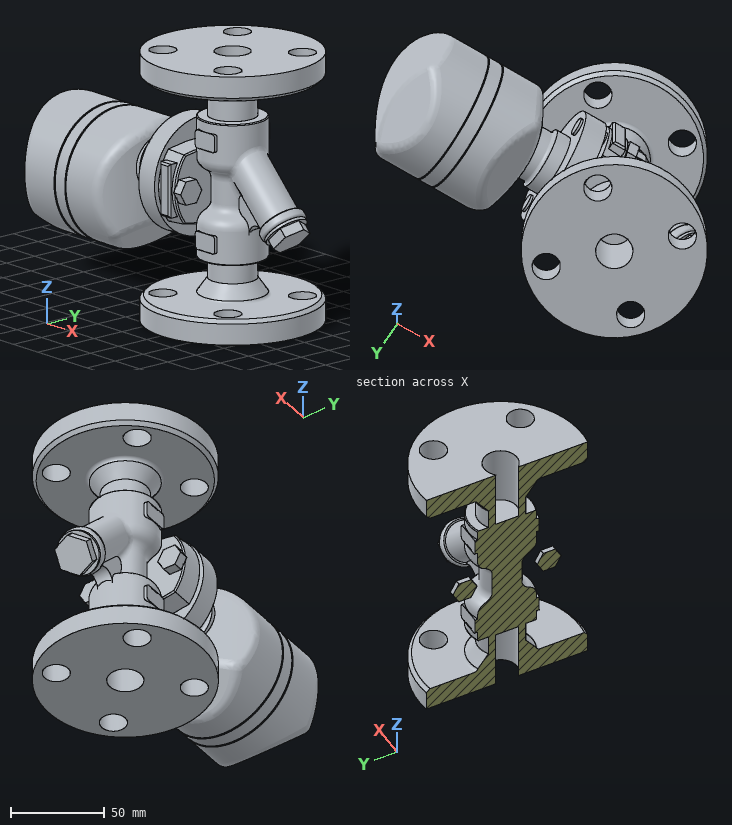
import cadquery as cq
import math


half_height = 75.0
flange_radius = 50.0
flange_thickness = 14.0
flange_chamfer = 2.1
flange_hole_diameter = 15.0
flange_hole_offset = 26.5
bore_diameter = 20.0
bore_depth = 35.2
neck_radius = 13.58
cone_end_radius = 19.3
cone_foot_radius = 21.9
cone_foot_height = 1.8
cone_end_z = 51.2

collar_radius = 19.5
collar_end_z = 39.5
collar_edge_chamfer = 0.5
waist_radius = 11.7
upper_shoulder_z = 17.0
upper_bend_z = 10.5
upper_waist_z = 4.7
lower_waist_z = -8.4
lower_bend_z = -13.9
lower_shoulder_z = -20.7

pad_width = 15.6
pad_height = 10.2
pad_corner = 1.5
pad_face_y = 19.83
pad_center_z = 28.3

branch_angle = 45.0
branch_axis_x = 27.48
branch_radius = 11.5
branch_embed = 11.7
branch_blend = 3.5
web_hollow_radius = 6.3
web_thickness = 9.8
washer_radius = 12.5
ring_radius = 13.5
ring_start = 35.7
ring_end = 41.5
ring_rounding = 1.5
washer_end = 43.0
cap_end = 48.8
cap_corner_diameter = 22.9
cap_turn = -8.0

disc_radius = 33.5
disc_left_x = -38.3
disc_right_x = -25.4
hub_radius = 17.48
hub_left_x = -46.5
lug_left_x = -23.0
lug_right_x = -10.2
lug_radius = 32.6
lug_crest_z = 22.7
lug_shoulder_z = 20.1
lug_draft = 4.0
lug_edge_chamfer = 0.8
plate_left_x = -21.0
plate_right_x = -12.9
plate_height = 30.0
plate_face_y = -33.8
plate_bevel = 1.2
bolt_y = 25.8
bolt_diameter = 10.0
bolt_left_x = -39.7
nut_right_x = -4.3
nut_corner_diameter = 15.0

actuator_radius = 38.0
actuator_z = -13.97
actuator_left_x = -139.0
actuator_right_x = -56.3
end_curve_radius = 67.0
bottom_cut_height = 20.3
edge_rounding = 6.6
groove_width = 0.5
groove_depth = 0.4
groove_places = (-102.0, -93.2)
stem_radius = 15.0
flare_left_x = -55.9
flare_right_x = -54.0
stem_right_x = -48.2
stem_embed = 11.7


def x_cylinder(radius, left_x, right_x, y=0.0, z=0.0):
    """Solid cylinder along X between two stations."""
    return cq.Workplane("YZ", origin=(left_x, y, z)).circle(radius).extrude(right_x - left_x)


def fillet_mid(corner, start, end):
    """Middle point of a hollow fillet from start to end around a square inner corner."""
    share = 1 - math.sqrt(0.5)
    x = corner[0] + share * (start[0] + end[0] - 2 * corner[0])
    y = corner[1] + share * (start[1] + end[1] - 2 * corner[1])
    return x, y


def pipe_end():
    """Upper flange with its conical neck, reaching down into the collar."""
    flange_back = half_height - flange_thickness
    cone_start_z = flange_back - cone_foot_height
    foot_start = (cone_foot_radius, flange_back)
    foot_end = (cone_end_radius, cone_start_z)
    foot_corner = (cone_end_radius, flange_back)
    foot_mid = fillet_mid(foot_corner, foot_start, foot_end)
    end = (
        cq.Workplane("XZ")
        .moveTo(0, half_height)
        .lineTo(flange_radius, half_height)
        .lineTo(flange_radius, flange_back + flange_chamfer)
        .lineTo(flange_radius - flange_chamfer, flange_back)
        .lineTo(*foot_start)
        .threePointArc(foot_mid, foot_end)
        .lineTo(neck_radius, cone_end_z)
        .lineTo(neck_radius, upper_shoulder_z)
        .lineTo(0, upper_shoulder_z)
        .close()
        .revolve(360, (0, 0, 0), (0, 1, 0))
    )
    pitch = 2 * flange_hole_offset
    holes = (
        cq.Workplane("XY", origin=(0, 0, flange_back))
        .rect(pitch, pitch, forConstruction=True)
        .vertices()
        .circle(flange_hole_diameter / 2)
        .extrude(flange_thickness)
    )
    return end.cut(holes)


def shoulder_bend(waist_z, bend_z, shoulder_z):
    """Point where the two arcs of a shoulder meet without a kink."""
    share = (bend_z - waist_z) / (shoulder_z - waist_z)
    return waist_radius + share * (collar_radius - waist_radius), bend_z


def valve_body():
    """Two collars joined by a narrow waist with rounded shoulders."""
    return (
        cq.Workplane("XZ")
        .moveTo(0, collar_end_z)
        .lineTo(collar_radius - collar_edge_chamfer, collar_end_z)
        .lineTo(collar_radius, collar_end_z - collar_edge_chamfer)
        .lineTo(collar_radius, upper_shoulder_z)
        .tangentArcPoint(shoulder_bend(upper_waist_z, upper_bend_z, upper_shoulder_z), relative=False)
        .tangentArcPoint((waist_radius, upper_waist_z), relative=False)
        .lineTo(waist_radius, lower_waist_z)
        .tangentArcPoint(shoulder_bend(lower_waist_z, lower_bend_z, lower_shoulder_z), relative=False)
        .tangentArcPoint((collar_radius, lower_shoulder_z), relative=False)
        .lineTo(collar_radius, collar_edge_chamfer - collar_end_z)
        .lineTo(collar_radius - collar_edge_chamfer, -collar_end_z)
        .lineTo(0, -collar_end_z)
        .close()
        .revolve(360, (0, 0, 0), (0, 1, 0))
    )


def collar_pads():
    """Rounded rectangular pads on both sides of both collars."""
    pads = cq.Workplane("XY")
    for z in (-pad_center_z, pad_center_z):
        pad = (
            cq.Workplane("XY", origin=(0, 0, z))
            .box(pad_width, 2 * pad_face_y, pad_height)
            .edges("|Y")
            .fillet(pad_corner)
        )
        pads = pads.union(pad)
    return pads


def branch_plane():
    """Plane across the branch, at the point of its axis nearest the origin."""
    foot = branch_axis_x / 2
    tilt = math.radians(branch_angle)
    normal = (math.cos(tilt), 0, -math.sin(tilt))
    return cq.Plane(origin=(foot, 0, foot), xDir=(math.sin(tilt), 0, math.cos(tilt)), normal=normal)


def strainer_branch():
    """Plain branch pipe, starting inside the upper collar."""
    start = cq.Workplane(branch_plane()).workplane(offset=-branch_embed)
    return start.circle(branch_radius).extrude(branch_embed + ring_start)


def blended_body():
    """Valve body and branch with a fillet along the seam between them."""
    body = valve_body().union(strainer_branch())
    seam = [edge for edge in body.edges().vals() if edge.geomType() == "BSPLINE"]
    return body.newObject(seam).fillet(branch_blend)


def branch_web():
    """Web between the lower collar and the branch, with a hollow lower edge."""
    diagonal = math.sqrt(0.5)
    root_x = math.sqrt(collar_radius**2 - (web_thickness / 2) ** 2)
    hollow_x = root_x + web_hollow_radius
    hollow_z = branch_axis_x - hollow_x - (branch_radius + web_hollow_radius) / diagonal
    mid_angle = math.radians(90 + branch_angle / 2)
    hollow_mid = (
        hollow_x + web_hollow_radius * math.cos(mid_angle),
        hollow_z + web_hollow_radius * math.sin(mid_angle),
    )
    hollow_end = (
        hollow_x + web_hollow_radius * diagonal,
        hollow_z + web_hollow_radius * diagonal,
    )
    return (
        cq.Workplane("XZ")
        .moveTo(0, hollow_z)
        .lineTo(root_x, hollow_z)
        .threePointArc(hollow_mid, hollow_end)
        .lineTo(branch_axis_x / 2, branch_axis_x / 2)
        .lineTo(0, branch_axis_x / 2)
        .close()
        .extrude(web_thickness / 2, both=True)
    )


def strainer_cap():
    """Rounded ring, washer and hexagon at the end of the branch."""
    plane = cq.Workplane(branch_plane())
    washer = plane.workplane(offset=ring_start).circle(washer_radius).extrude(washer_end - ring_start)
    ring = (
        plane.workplane(offset=ring_start)
        .circle(ring_radius)
        .extrude(ring_end - ring_start)
        .edges()
        .fillet(ring_rounding)
    )
    hexagon = (
        plane.workplane(offset=ring_end)
        .transformed(rotate=(0, 0, cap_turn))
        .polygon(6, cap_corner_diameter)
        .extrude(cap_end - ring_end)
    )
    return washer.union(ring).union(hexagon)


def lug_plate():
    """Drafted plate with round sides and arched top and bottom."""
    shoulder_y = math.sqrt(lug_radius**2 - lug_shoulder_z**2)
    return (
        cq.Workplane("YZ", origin=(lug_left_x, 0, 0))
        .moveTo(-shoulder_y, lug_shoulder_z)
        .threePointArc((0, lug_crest_z), (shoulder_y, lug_shoulder_z))
        .threePointArc((lug_radius, 0), (shoulder_y, -lug_shoulder_z))
        .threePointArc((0, -lug_crest_z), (-shoulder_y, -lug_shoulder_z))
        .threePointArc((-lug_radius, 0), (-shoulder_y, lug_shoulder_z))
        .close()
        .extrude(lug_right_x - lug_left_x, taper=lug_draft)
        .faces(">X")
        .chamfer(lug_edge_chamfer)
    )


def name_plate():
    """Bevelled rectangular plate on the -Y side of the lug plate."""
    width = plate_right_x - plate_left_x
    return (
        cq.Workplane("XY")
        .box(width, -plate_face_y - bolt_y, plate_height, centered=(False, False, True))
        .translate((plate_left_x, plate_face_y, 0))
        .faces("<Y")
        .chamfer(plate_bevel)
    )


def bonnet():
    """Disc, lug plate and the two bolts that join them."""
    parts = x_cylinder(disc_radius, disc_left_x, disc_right_x)
    parts = parts.union(lug_plate()).union(name_plate())
    for y in (-bolt_y, bolt_y):
        bolt = x_cylinder(bolt_diameter / 2, bolt_left_x, lug_right_x, y)
        nut = (
            cq.Workplane("YZ", origin=(lug_right_x, y, 0))
            .polygon(6, nut_corner_diameter)
            .extrude(nut_right_x - lug_right_x)
        )
        parts = parts.union(bolt).union(nut)
    return parts


def actuator_stem():
    """Flared neck of the actuator with the hub that carries the bonnet disc."""
    flare_start = (flare_left_x, hub_radius)
    flare_end = (flare_right_x, stem_radius)
    flare_mid = fillet_mid((flare_left_x, stem_radius), flare_start, flare_end)
    fillet_start = (stem_right_x, stem_radius)
    fillet_end = (hub_left_x, hub_radius)
    hub_mid = fillet_mid((hub_left_x, stem_radius), fillet_start, fillet_end)
    left_x = actuator_right_x - stem_embed
    return (
        cq.Workplane("XY")
        .moveTo(left_x, 0)
        .lineTo(left_x, hub_radius)
        .lineTo(*flare_start)
        .threePointArc(flare_mid, flare_end)
        .lineTo(*fillet_start)
        .threePointArc(hub_mid, fillet_end)
        .lineTo(lug_left_x, hub_radius)
        .lineTo(lug_left_x, 0)
        .close()
        .revolve(360, (0, 0, 0), (1, 0, 0))
    )


def actuator():
    """Round housing with bowed ends and two sloping cuts along its bottom."""
    bottom_z = actuator_z - actuator_radius
    top_z = actuator_z + actuator_radius
    side = (
        cq.Workplane("XZ")
        .moveTo(actuator_left_x, top_z)
        .lineTo(actuator_right_x, top_z)
        .lineTo(actuator_right_x, bottom_z + bottom_cut_height)
        .lineTo(actuator_right_x - bottom_cut_height, bottom_z)
        .lineTo(actuator_left_x + bottom_cut_height, bottom_z)
        .lineTo(actuator_left_x, bottom_z + bottom_cut_height)
        .close()
        .extrude(actuator_radius, both=True)
    )
    housing = x_cylinder(actuator_radius, actuator_left_x, actuator_right_x, z=actuator_z)
    for center_x in (actuator_left_x + end_curve_radius, actuator_right_x - end_curve_radius):
        bow = (
            cq.Workplane("XY", origin=(center_x, 0, bottom_z))
            .circle(end_curve_radius)
            .extrude(2 * actuator_radius)
        )
        housing = housing.intersect(bow)
    housing = housing.intersect(side)
    housing = housing.edges().fillet(edge_rounding)
    for groove_x in groove_places:
        groove = (
            cq.Workplane("YZ", origin=(groove_x - groove_width / 2, 0, actuator_z))
            .circle(actuator_radius + groove_depth)
            .circle(actuator_radius - groove_depth)
            .extrude(groove_width)
        )
        housing = housing.cut(groove)
    return housing


upper_end = pipe_end()
lower_end = upper_end.mirror("XY")
result = blended_body().union(branch_web())
result = result.union(strainer_cap()).union(collar_pads()).union(bonnet())
result = result.union(actuator_stem()).union(actuator())
result = result.union(upper_end).union(lower_end)
for end_z in (half_height - bore_depth, -half_height):
    bore = cq.Workplane("XY", origin=(0, 0, end_z)).circle(bore_diameter / 2).extrude(bore_depth)
    result = result.cut(bore)